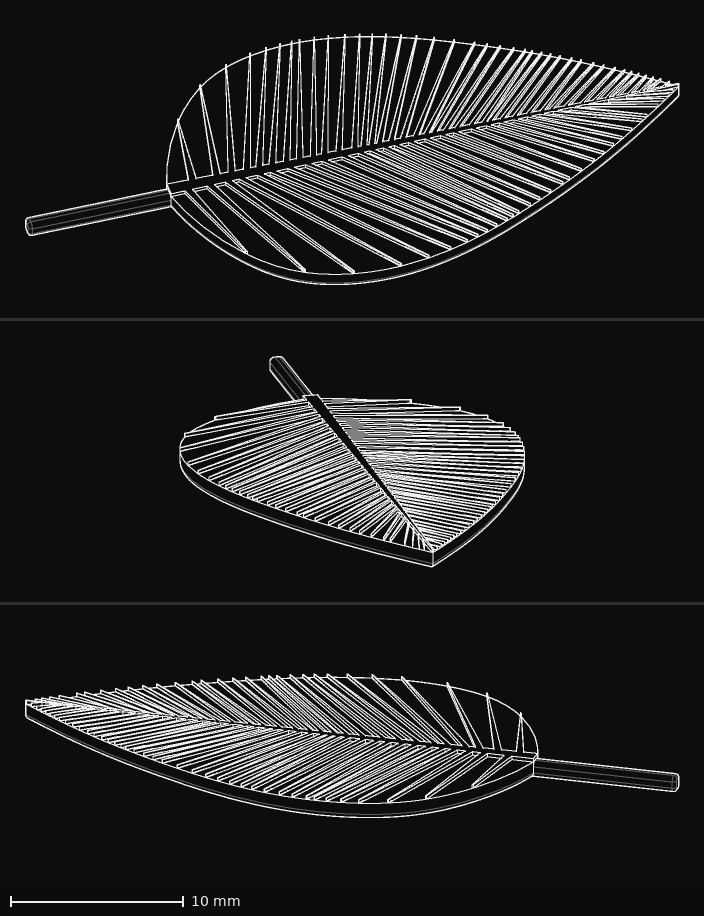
import cadquery as cq

leaf_length = 39.42
blade_base_y = 8.6
blade_thickness = 1.0
vein_height = 0.213
long_edge_round = 0.3

stem_width = 0.85
stem_end_round = 0.2
stem_overlap = 1.2

midrib_tip_width = 0.08
vein_root_width_at_base = 0.47
vein_root_width_at_tip = 0.2
vein_tip_width = 0.05
vein_overrun = 0.05
bisection_steps = 30

margin_points = [
    (0.0, leaf_length),
    (2.2, 36.55),
    (4.77, 32.7),
    (6.9, 28.9),
    (8.65, 25.1),
    (9.9, 18.4),
    (8.5, 13.68),
    (5.5, 10.8),
    (stem_width / 2, blade_base_y),
]

left_veins = [
    (10.15, 10.75), (11.6, 12.85), (12.5, 14.8), (13.4, 16.4), (14.15, 17.42), (14.95, 18.3), (15.8, 19.0),
    (16.6, 19.47), (17.42, 20.35), (18.1, 21.15), (18.95, 22.1), (19.9, 22.95), (20.45, 23.65), (20.95, 24.4),
    (21.4, 25.23), (22.1, 26.05), (22.82, 27.0), (23.6, 28.05), (24.25, 29.15), (24.7, 29.8), (25.43, 30.47),
    (26.1, 31.2), (26.95, 31.77), (27.7, 32.13), (28.05, 32.6), (28.8, 33.07), (29.55, 33.55), (30.4, 34.15),
    (31.22, 34.6), (31.77, 35.25), (32.65, 35.75), (33.63, 36.3), (34.37, 36.78), (35.12, 37.15), (35.6, 37.5),
    (36.45, 37.85), (37.17, 38.2), (37.45, 38.55), (38.5, 39.0),
]
right_veins = [
    (9.65, 11.4), (11.0, 14.2), (12.1, 16.87), (12.93, 19.67), (14.05, 21.4), (14.82, 22.82), (15.9, 23.93),
    (16.95, 24.65), (17.95, 25.25), (19.15, 25.95), (20.15, 26.65), (20.85, 27.1), (21.65, 27.48), (22.3, 28.3),
    (23.18, 28.97), (24.15, 29.75), (25.1, 30.63), (25.9, 31.1), (26.95, 31.95), (27.87, 32.9), (28.65, 33.63),
    (29.53, 34.37), (30.35, 35.0), (31.1, 35.75), (31.93, 36.55), (33.0, 36.95), (33.82, 37.8), (35.0, 38.28),
    (36.1, 38.67), (37.17, 39.0),
]


def margin_spline():
    """Right-hand margin of the blade, from the leaf tip down to the stem joint."""
    return cq.Edge.makeSpline([cq.Vector(x, y) for x, y in margin_points])


def margin_half_width(y):
    """Half width of the blade at y, found by bisection as the margin falls steadily in y."""
    margin = margin_spline()
    upper, lower = 0.0, 1.0
    for _ in range(bisection_steps):
        middle = (upper + lower) / 2
        if margin.positionAt(middle).y > y:
            upper = middle
        else:
            lower = middle
    return margin.positionAt(upper).x


def blade_prism(height):
    """Blade outline extruded up from z = 0."""
    right_margin = margin_spline()
    left_margin = right_margin.mirror("YZ")
    foot = cq.Edge.makeLine(left_margin.endPoint(), right_margin.endPoint())
    outline = cq.Wire.assembleEdges([right_margin, foot, left_margin])
    return cq.Workplane("XY").add(outline).toPending().extrude(height)


def taper(y, base_value, tip_value):
    """Value at y of a size that changes evenly from the blade base to the leaf tip."""
    share = (y - blade_base_y) / (leaf_length - blade_base_y)
    return base_value + share * (tip_value - base_value)


def vein_layer(outline):
    """Prism on a closed outline, rising from the top face of the blade by the vein height."""
    return cq.Workplane("XY", origin=(0, 0, blade_thickness)).polyline(outline).close().extrude(vein_height)


def midrib():
    """Main vein along the centre of the blade, in line with the stem."""
    foot = stem_width / 2
    tip = midrib_tip_width / 2
    return vein_layer([(-foot, blade_base_y), (foot, blade_base_y), (tip, leaf_length), (-tip, leaf_length)])


def side_vein(side, root_y, tip_y):
    """Wedge from the midrib to just past the margin; side is 1 for right and -1 for left."""
    root_x = side * taper(root_y, stem_width, midrib_tip_width) / 2
    tip_x = side * (margin_half_width(tip_y) + vein_overrun)
    half_root = taper(root_y, vein_root_width_at_base, vein_root_width_at_tip) / 2
    half_tip = vein_tip_width / 2
    return vein_layer([
        (0, root_y),
        (root_x, root_y - half_root),
        (tip_x, tip_y - half_tip),
        (tip_x, tip_y + half_tip),
        (root_x, root_y + half_root),
    ])


def stem():
    """Bar lying on z = 0 that runs a little way into the blade."""
    length = blade_base_y + stem_overlap
    bar = cq.Workplane("XY").box(stem_width, length, blade_thickness, centered=(True, False, False))
    bar = bar.edges("|Y").fillet(long_edge_round)
    return bar.faces("<Y").edges().fillet(stem_end_round)


blade = blade_prism(blade_thickness)
blade = blade.faces("<Z").edges().fillet(long_edge_round)

side_veins = [side_vein(-1, root_y, tip_y).val() for root_y, tip_y in left_veins]
side_veins += [side_vein(1, root_y, tip_y).val() for root_y, tip_y in right_veins]
veins = cq.Workplane(midrib().val().fuse(*side_veins))
veins = veins.intersect(blade_prism(blade_thickness + vein_height))

result = blade.union(veins).union(stem())